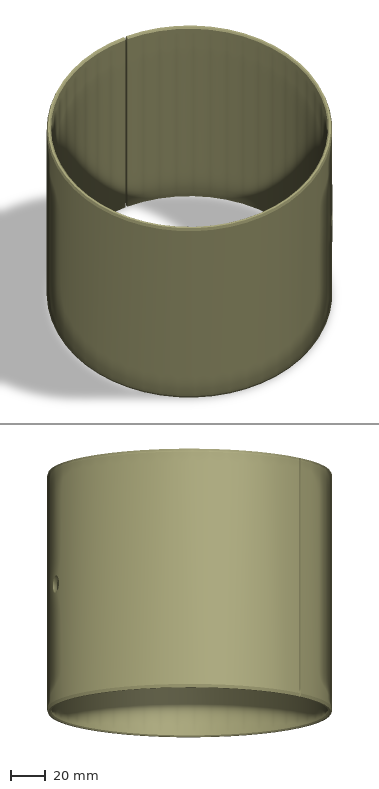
import cadquery as cq
import math

outer_diameter = 165.0
wall_thickness = 2.5
height = 140.0
outer_chamfer_height = 1.8
outer_chamfer_angle = 20.0
inner_chamfer = 0.8
slit_angle = 1.0
hole_diameter = 10.0
hole_angle_from_slit = 120.0

outer_radius = outer_diameter / 2
inner_radius = outer_radius - wall_thickness
outer_chamfer_width = outer_chamfer_height * math.tan(math.radians(outer_chamfer_angle))
rim_outer_radius = outer_radius - outer_chamfer_width
rim_inner_radius = inner_radius + inner_chamfer
wall_start_angle = 180.0
wall_sweep = 360.0 - slit_angle
hole_angle = wall_start_angle - slit_angle - hole_angle_from_slit
hole_height = height / 2


def make_split_sleeve():
    """Thin wall, chamfered outside and inside at both rims, swept up to the slit."""
    wall_section = [
        (rim_inner_radius, 0),
        (rim_outer_radius, 0),
        (outer_radius, outer_chamfer_height),
        (outer_radius, height - outer_chamfer_height),
        (rim_outer_radius, height),
        (rim_inner_radius, height),
        (inner_radius, height - inner_chamfer),
        (inner_radius, inner_chamfer),
    ]
    sleeve = cq.Workplane("XZ").polyline(wall_section).close().revolve(wall_sweep, (0, 0), (0, 1))
    return sleeve.rotate((0, 0, 0), (0, 0, 1), wall_start_angle)


def make_radial_hole():
    """Cutter running from the axis outward through one side of the wall."""
    hole = cq.Workplane("YZ").center(0, hole_height).circle(hole_diameter / 2).extrude(outer_diameter)
    return hole.rotate((0, 0, 0), (0, 0, 1), hole_angle)


result = make_split_sleeve().cut(make_radial_hole())